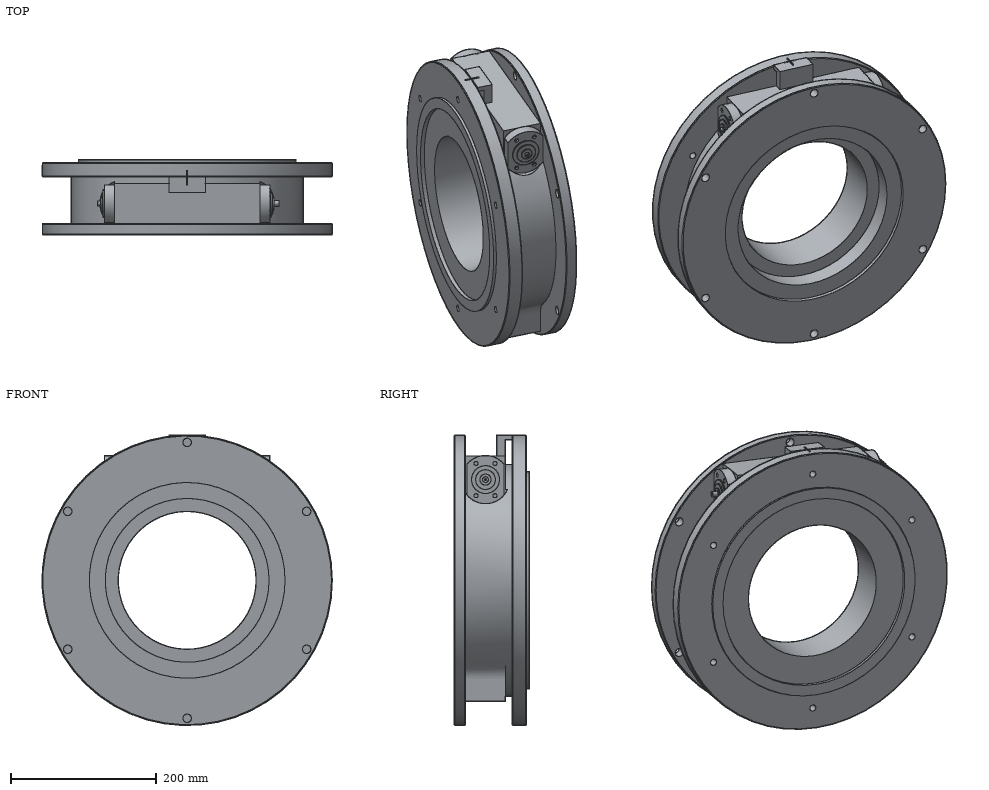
import cadquery as cq
import math


flange_radius = 200.0
front_flange_thickness = 16.0
rear_flange_front = 80.0
rear_flange_back = 100.0
hub_radius = 160.0
spigot_radius = 150.0
spigot_length = 4.0
edge_chamfer = 1.0
ring_back = rear_flange_back + spigot_length

bore_radius = 95.0
counterbore_radius = 113.0
counterbore_floor = 31.5
recess_radius = 135.0
recess_depth = 5.5

bolt_count = 6
first_bolt_angle = 90.0
front_bolt_circle = 190.0
front_bolt_diameter = 11.5
rear_bolt_circle = 170.0
rear_bolt_diameter = 9.0

housing_half_width = 100.0
housing_back = 71.0
housing_top = 171.5
housing_root = 120.0
lug_bottom = 167.0
lug_fillet_radius = 24.0
housing_depth = housing_back - front_flange_thickness

drive_y = (front_flange_thickness + housing_back) / 2
drive_z = 139.0
cap_radius = 33.0
cap_thickness = 14.0
cap_width_across_flats = 51.5
cap_face = housing_half_width + cap_thickness
cap_step_radii = (19.0, 13.5, 7.5)
cap_step_height = 1.8
screw_hole_diameter = 5.5
screw_hole_depth = 4.0
screw_spacing_y = 26.0
screw_spacing_z = 44.5

left_shaft_radius = 3.0
left_shaft_tip = 123.0
right_shaft_radius = 4.0
right_shaft_tip = 127.0
center_hole_radius = 1.0
center_hole_depth = 2.5

bracket_width = 50.0
bracket_front = 59.0
bracket_arm_thickness = 6.5

mark_width = 1.0
mark_depth = 1.0
mark_front = 69.0
mark_back = 89.0


def box_between(x_range, y_range, z_range):
    """Axis-aligned block given by its lower and upper limits."""
    low, high = zip(x_range, y_range, z_range)
    size = [b - a for a, b in zip(low, high)]
    return cq.Workplane("XY").box(*size, centered=False).translate(low)


def disc_y(radius, y_start, y_end):
    """Cylinder about the ring axis."""
    plane = cq.Workplane("XZ", origin=(0, y_start, 0))
    return plane.circle(radius).extrude(y_start - y_end)


def drive_cylinder(radius, side, x_start, x_end):
    """Cylinder about the drive axis, on the +X (side 1) or -X (side -1) end."""
    plane = cq.Workplane("YZ", origin=(side * x_start, drive_y, drive_z))
    return plane.circle(radius).extrude(side * (x_end - x_start))


def bolt_holes(circle_radius, diameter, y_start, y_end):
    """Ring of holes parallel to the ring axis."""
    plane = cq.Workplane("XZ", origin=(0, y_start, 0))
    points = plane.polarArray(circle_radius, first_bolt_angle, 360, bolt_count)
    return points.circle(diameter / 2).extrude(y_start - y_end)


def flanged_ring():
    """Two flanges on a hub, with a short spigot at the back."""
    front_flange = disc_y(flange_radius, 0, front_flange_thickness).edges().chamfer(edge_chamfer)
    rear_flange = disc_y(flange_radius, rear_flange_front, rear_flange_back).edges().chamfer(edge_chamfer)
    hub = disc_y(hub_radius, 0, rear_flange_back)
    spigot = disc_y(spigot_radius, rear_flange_back - spigot_length, ring_back)
    return hub.union(front_flange).union(rear_flange).union(spigot)


def stepped_bore():
    """Through bore with a front counterbore and a shallow recess at each end."""
    bore = disc_y(bore_radius, 0, ring_back)
    counterbore = disc_y(counterbore_radius, 0, counterbore_floor)
    front_recess = disc_y(recess_radius, 0, recess_depth)
    rear_recess = disc_y(recess_radius, ring_back - recess_depth, ring_back)
    return bore.union(counterbore).union(front_recess).union(rear_recess)


def rest_lug():
    """Lug below the hub whose sides blend into the hub with concave arcs."""
    blend_center_x = housing_half_width + lug_fillet_radius
    blend_center_distance = hub_radius + lug_fillet_radius
    blend_center_z = -math.sqrt(blend_center_distance**2 - blend_center_x**2)
    hub_share = hub_radius / blend_center_distance
    tangent_x = blend_center_x * hub_share
    tangent_z = blend_center_z * hub_share
    return (
        cq.Workplane("XZ", origin=(0, front_flange_thickness, 0))
        .moveTo(-housing_half_width, -lug_bottom)
        .lineTo(housing_half_width, -lug_bottom)
        .lineTo(housing_half_width, blend_center_z)
        .radiusArc((tangent_x, tangent_z), lug_fillet_radius)
        .lineTo(-tangent_x, tangent_z)
        .radiusArc((-housing_half_width, blend_center_z), lug_fillet_radius)
        .close()
        .extrude(-housing_depth)
    )


def drive_housing():
    """Block carrying the drive, sunk into the top of the hub."""
    return box_between(
        (-housing_half_width, housing_half_width),
        (front_flange_thickness, housing_back),
        (housing_root, housing_top),
    )


def cap_clearance(side):
    """Round relief in the hub around an end cap, kept between the flanges."""
    relief = drive_cylinder(cap_radius, side, housing_half_width, hub_radius)
    gap = disc_y(flange_radius, front_flange_thickness, rear_flange_front)
    return relief.intersect(gap)


def end_cap(side, shaft_radius, shaft_tip):
    """Round cap with two flats, a stepped nose, screw holes and a shaft end."""
    half_flats = cap_width_across_flats / 2
    cap = drive_cylinder(cap_radius, side, housing_half_width, cap_face)
    flats = box_between(
        (-cap_face, cap_face),
        (drive_y - half_flats, drive_y + half_flats),
        (drive_z - cap_radius, drive_z + cap_radius),
    )
    cap = cap.intersect(flats)

    screw_holes = (
        cq.Workplane("YZ", origin=(side * cap_face, drive_y, drive_z))
        .rarray(screw_spacing_y, screw_spacing_z, 2, 2)
        .circle(screw_hole_diameter / 2)
        .extrude(-side * screw_hole_depth)
    )
    cap = cap.cut(screw_holes)

    for step, radius in enumerate(cap_step_radii, start=1):
        step_face = cap_face + step * cap_step_height
        cap = cap.union(drive_cylinder(radius, side, housing_half_width, step_face))
    cap = cap.union(drive_cylinder(shaft_radius, side, housing_half_width, shaft_tip))
    center_hole = drive_cylinder(center_hole_radius, side, shaft_tip - center_hole_depth, shaft_tip)
    return cap.cut(center_hole)


def pointer_bracket():
    """Angle bracket standing on the housing and reaching back to the rear flange."""
    x_range = (-bracket_width / 2, bracket_width / 2)
    arm_bottom = flange_radius - bracket_arm_thickness
    leg = box_between(x_range, (bracket_front, housing_back), (housing_top, flange_radius))
    arm = box_between(x_range, (bracket_front, rear_flange_front), (arm_bottom, flange_radius))
    return leg.union(arm)


def index_mark():
    """Narrow groove used to read the angular position."""
    return box_between(
        (-mark_width / 2, mark_width / 2),
        (mark_front, mark_back),
        (flange_radius - mark_depth, flange_radius),
    )


result = flanged_ring().union(rest_lug())
for cap_side in (-1, 1):
    result = result.cut(cap_clearance(cap_side))
result = result.union(drive_housing())
result = result.union(end_cap(-1, left_shaft_radius, left_shaft_tip))
result = result.union(end_cap(1, right_shaft_radius, right_shaft_tip))
result = result.union(pointer_bracket())
result = result.cut(stepped_bore())
result = result.cut(bolt_holes(front_bolt_circle, front_bolt_diameter, 0, front_flange_thickness))
result = result.cut(bolt_holes(rear_bolt_circle, rear_bolt_diameter, rear_flange_front, rear_flange_back))
result = result.cut(index_mark())